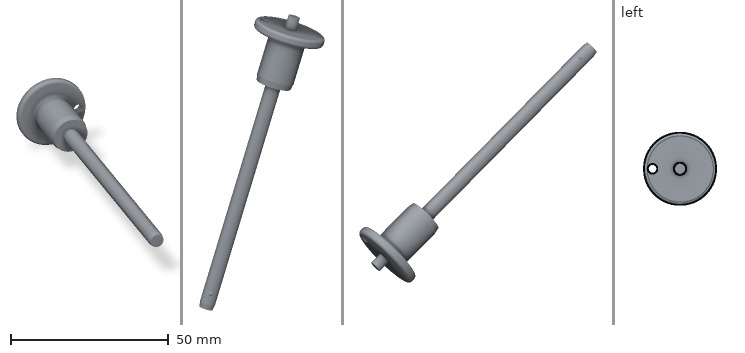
import cadquery as cq

total_length = 99.0
button_length = 4.0
flange_thickness = 3.0
barrel_end = 23.1
ball_x = 93.7

flange_radius = 11.5
rim_fillet = 1.0
barrel_radius = 6.0
neck_fillet = 1.0
barrel_taper_length = 2.1
barrel_end_radius = 5.6
lanyard_hole_radius = 1.5
lanyard_hole_y = 8.7

button_radius = 1.9
button_clearance = 0.1
shank_radius = 2.5
tip_length = 1.8
tip_radius = 2.2
ball_radius = 0.8
ball_protrusion = 0.3

flange_front = button_length
flange_back = flange_front + flange_thickness
ball_offset = shank_radius + ball_protrusion - ball_radius


def rod(start, end, radius):
    """Solid cylinder along X."""
    return cq.Workplane("YZ", origin=(start, 0, 0)).circle(radius).extrude(end - start)


def make_handle():
    """Rounded flange and barrel, bored for the button and shank and drilled for a lanyard."""
    flange = rod(flange_front, flange_back, flange_radius).edges().fillet(rim_fillet)
    barrel = (
        cq.Workplane("XY")
        .moveTo(flange_back, 0)
        .lineTo(flange_back, barrel_radius + neck_fillet)
        .radiusArc((flange_back + neck_fillet, barrel_radius), -neck_fillet)
        .lineTo(barrel_end - barrel_taper_length, barrel_radius)
        .lineTo(barrel_end, barrel_end_radius)
        .lineTo(barrel_end, 0)
        .close()
        .revolve(360, (0, 0, 0), (1, 0, 0))
    )
    lanyard_hole = rod(flange_front, flange_back, lanyard_hole_radius).translate((0, lanyard_hole_y, 0))
    button_bore = rod(flange_front, flange_back, button_radius + button_clearance)
    shank_bore = rod(flange_back, barrel_end, shank_radius)
    return flange.union(barrel).cut(lanyard_hole).cut(button_bore).cut(shank_bore)


def make_button():
    """Push button standing on the shank, with clearance inside the flange."""
    return rod(0, flange_back, button_radius)


def make_ball(side):
    """Locking ball on the upper (+1) or lower (-1) side of the shank."""
    return cq.Workplane("XY").sphere(ball_radius).translate((ball_x, 0, side * ball_offset))


def make_shank():
    """Shank seated in the barrel, with a tapered tip and the balls formed on it."""
    tip_start = total_length - tip_length
    shank = (
        cq.Workplane("XY")
        .moveTo(flange_back, 0)
        .lineTo(flange_back, shank_radius)
        .lineTo(tip_start, shank_radius)
        .lineTo(total_length, tip_radius)
        .lineTo(total_length, 0)
        .close()
        .revolve(360, (0, 0, 0), (1, 0, 0))
    )
    for side in (1, -1):
        shank = shank.union(make_ball(side))
    return shank


handle = make_handle()
button = make_button()
shank = make_shank()
result = cq.Compound.makeCompound([handle.val(), button.val(), shank.val()])